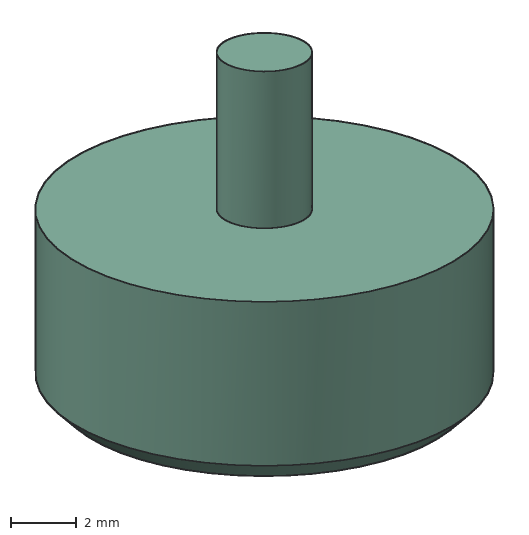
import cadquery as cq

body_diameter = 13.9
stem_diameter = 2.9
total_height = 13.2
stem_length = 5.2
chamfer_size = 0.62
cone_height = 1.94

body_radius = body_diameter / 2
stem_radius = stem_diameter / 2
cone_radius = body_radius - chamfer_size
chamfer_top = cone_height + chamfer_size
body_top = total_height - stem_length


def turned_body():
    """Disc with a chamfered lower edge and a shallow conical point below."""
    half_profile = (
        cq.Workplane("XZ")
        .moveTo(0, 0)
        .lineTo(cone_radius, cone_height)
        .lineTo(body_radius, chamfer_top)
        .lineTo(body_radius, body_top)
        .lineTo(0, body_top)
        .close()
    )
    return half_profile.revolve(360, (0, 0, 0), (0, 1, 0))


def stem():
    """Plain round pin standing on the centre of the body."""
    return cq.Workplane("XY").workplane(offset=body_top).circle(stem_radius).extrude(stem_length)


result = turned_body().union(stem())